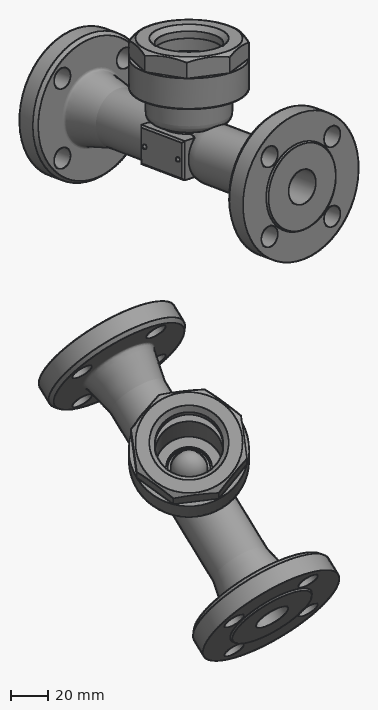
import cadquery as cq
import math

overall_length = 180.0
pipe_radius = 34.0 / 2
bore_radius = 20.0 / 2
bore_end_x = 18.5

flange_radius = 85.0 / 2
raised_face_radius = 51.0 / 2
raised_face_height = 1.0
raised_face_chamfer = 0.7
flange_thickness = 13.1
flange_chamfer_length = 2.3
flange_chamfer_depth = 1.8
bolt_hole_diameter = 12.0
bolt_circle_diameter = 65.0
bolt_count = 4

hub_fillet_end_radius = 20.7
hub_root_radius = 22.9
hub_fillet_length = 3.2
hub_cone_length = 17.0

waist_center_x = 10.0
waist_half_length = 12.6
waist_inflection = 6.0
waist_radius = 14.8

neck_radius = 47.0 / 2
neck_bottom_z = 13.0
neck_bottom_radius = 15.1
neck_bottom_slope = 0.2
neck_straight_z = 19.0
neck_flare_z = 29.0
rim_radius = 56.0 / 2
rim_top_z = 43.4
chamber_radius = 37.0 / 2
chamber_floor_z = neck_straight_z

seat_radius = 25.0 / 2
seat_height = 0.5
upper_step_radius = 23.0 / 2
upper_step_height = 0.5
dome_radius = 20.0 / 2

pad_width = 34.4
pad_height = 22.7
pad_front_y = -20.2
pad_edge_chamfer = 1.0
rivet_radius = 1.35
rivet_spacing = 26.5

nut_radius = 65.0 / 2
nut_top_z = 61.0
nut_bottom_z = 31.9
octagon_bottom_z = 49.9
octagon_sides = 8
octagon_corner_diameter = 64.8
nut_top_flat_radius = 57.8 / 2
nut_top_chamfer_angle = 30.0
nut_bottom_chamfer = 0.7
nut_mouth_radius = 42.8 / 2
nut_throat_radius = chamber_radius
nut_throat_bottom_z = 54.0


def pipe_run():
    """Outer shape of the pipe with both hubs, flanges and raised faces."""
    end_x = overall_length / 2
    face_x = end_x - raised_face_height
    back_x = face_x - flange_thickness
    fillet_x = back_x - hub_fillet_length
    hub_x = fillet_x - hub_cone_length

    end_outline = [
        (end_x, 0),
        (end_x, raised_face_radius - raised_face_chamfer),
        (face_x, raised_face_radius),
        (face_x, flange_radius),
        (back_x + flange_chamfer_length, flange_radius),
        (back_x, flange_radius - flange_chamfer_depth),
        (back_x, hub_root_radius),
    ]
    cone_slope = (hub_fillet_end_radius - pipe_radius) / hub_cone_length
    along_flange_inward = (0, -1)
    along_flange_outward = (0, 1)
    waist_drop = pipe_radius - waist_radius
    inflection_radius = waist_radius + waist_drop * waist_inflection / waist_half_length

    profile = (
        cq.Workplane("XZ")
        .polyline([(-x, r) for x, r in end_outline])
        .spline([(-fillet_x, hub_fillet_end_radius)],
                tangents=[along_flange_inward, (1, -cone_slope)], includeCurrent=True)
        .lineTo(-hub_x, pipe_radius)
        .lineTo(waist_center_x - waist_half_length, pipe_radius)
        .tangentArcPoint((waist_center_x - waist_inflection, inflection_radius), relative=False)
        .tangentArcPoint((waist_center_x + waist_inflection, inflection_radius), relative=False)
        .tangentArcPoint((waist_center_x + waist_half_length, pipe_radius), relative=False)
        .lineTo(hub_x, pipe_radius)
        .lineTo(fillet_x, hub_fillet_end_radius)
        .spline([(back_x, hub_root_radius)],
                tangents=[(1, cone_slope), along_flange_outward], includeCurrent=True)
    )
    for x, r in reversed(end_outline[:-1]):
        profile = profile.lineTo(x, r)
    return profile.close().revolve(360, (0, 0, 0), (1, 0, 0))


def neck():
    """Round root in the pipe and a round-based neck that flares to the threaded rim."""
    flare_radius = rim_radius - neck_radius
    diagonal = flare_radius * math.sqrt(0.5)
    flare_middle = (rim_radius - diagonal, neck_flare_z + diagonal)
    return (
        cq.Workplane("XZ")
        .moveTo(0, 0)
        .lineTo(neck_bottom_radius, 0)
        .lineTo(neck_bottom_radius, neck_bottom_z)
        .spline([(neck_radius, neck_straight_z)],
                tangents=[(1, neck_bottom_slope), (0, 1)], includeCurrent=True)
        .lineTo(neck_radius, neck_flare_z)
        .threePointArc(flare_middle, (rim_radius, neck_flare_z + flare_radius))
        .lineTo(rim_radius, rim_top_z)
        .lineTo(0, rim_top_z)
        .close()
        .revolve(360, (0, 0, 0), (0, 1, 0))
    )


def name_plate_pad():
    """Rectangular pad with chamfered front edges and two round-headed rivets."""
    pad = (
        cq.Workplane("XZ")
        .rect(pad_width, pad_height)
        .extrude(-pad_front_y)
        .faces("<Y")
        .edges()
        .chamfer(pad_edge_chamfer)
    )
    for side in (-1, 1):
        rivet = cq.Workplane("XY").sphere(rivet_radius)
        pad = pad.union(rivet.translate((side * rivet_spacing / 2, pad_front_y, 0)))
    return pad


def chamber():
    """Round cavity inside the neck, less the domed seat left on its floor."""
    cavity = (
        cq.Workplane("XY", origin=(0, 0, chamber_floor_z))
        .circle(chamber_radius)
        .extrude(rim_top_z - chamber_floor_z)
    )
    seat_z = chamber_floor_z + seat_height
    dome_z = seat_z + upper_step_height
    diagonal = dome_radius * math.sqrt(0.5)
    seat = (
        cq.Workplane("XZ")
        .moveTo(0, chamber_floor_z)
        .lineTo(seat_radius, chamber_floor_z)
        .lineTo(seat_radius, seat_z)
        .lineTo(upper_step_radius, seat_z)
        .lineTo(upper_step_radius, dome_z)
        .lineTo(dome_radius, dome_z)
        .threePointArc((diagonal, dome_z + diagonal), (0, dome_z + dome_radius))
        .close()
        .revolve(360, (0, 0, 0), (0, 1, 0))
    )
    return cavity.cut(seat)


def pipe_bore(side):
    """Blind bore entering from one end; side is -1 or 1."""
    return (
        cq.Workplane("YZ", origin=(side * bore_end_x, 0, 0))
        .circle(bore_radius)
        .extrude(side * (overall_length / 2 - bore_end_x))
    )


def bolt_holes(side):
    """Bolt holes through one flange, on the diagonals; side is -1 or 1."""
    flange_back_x = overall_length / 2 - raised_face_height - flange_thickness
    return (
        cq.Workplane("YZ", origin=(side * flange_back_x, 0, 0))
        .polarArray(bolt_circle_diameter / 2, 180 / bolt_count, 360, bolt_count)
        .circle(bolt_hole_diameter / 2)
        .extrude(side * flange_thickness)
    )


def make_body():
    """Trap body: flanged pipe, neck and name plate pad in one piece."""
    body = pipe_run().union(neck()).union(name_plate_pad())
    body = body.cut(chamber())
    for side in (-1, 1):
        body = body.cut(pipe_bore(side)).cut(bolt_holes(side))
    return body


def make_nut():
    """Octagonal union nut sitting over the rim of the neck."""
    chamfer_drop = (nut_radius - nut_top_flat_radius) * math.tan(math.radians(nut_top_chamfer_angle))
    mouth_depth = nut_mouth_radius - nut_throat_radius
    turned = (
        cq.Workplane("XZ")
        .polyline([
            (rim_radius, nut_bottom_z),
            (nut_radius - nut_bottom_chamfer, nut_bottom_z),
            (nut_radius, nut_bottom_z + nut_bottom_chamfer),
            (nut_radius, nut_top_z - chamfer_drop),
            (nut_top_flat_radius, nut_top_z),
            (nut_mouth_radius, nut_top_z),
            (nut_throat_radius, nut_top_z - mouth_depth),
            (nut_throat_radius, nut_throat_bottom_z),
            (rim_radius, nut_throat_bottom_z),
        ])
        .close()
        .revolve(360, (0, 0, 0), (0, 1, 0))
    )
    head_height = nut_top_z - octagon_bottom_z
    octagon = (
        cq.Workplane("XY", origin=(0, 0, octagon_bottom_z))
        .polygon(octagon_sides, octagon_corner_diameter)
        .extrude(head_height)
    )
    outside_flats = (
        cq.Workplane("XY", origin=(0, 0, octagon_bottom_z))
        .circle(2 * nut_radius)
        .extrude(head_height)
        .cut(octagon)
    )
    return turned.cut(outside_flats)


body = make_body()
nut = make_nut()
result = cq.Compound.makeCompound([body.val(), nut.val()])